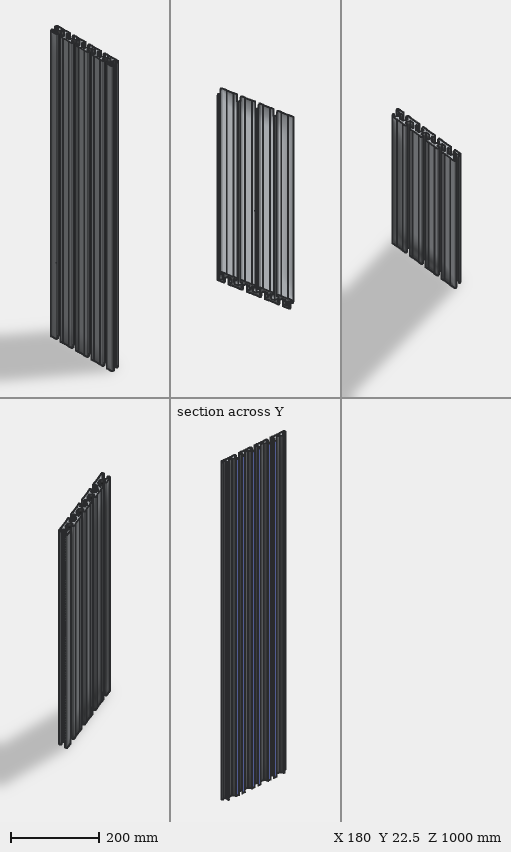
import cadquery as cq

LENGTH = 1000
WIDTH = 180
MODULE = WIDTH / 4
THICKNESS = MODULE / 2
CORNER_RADIUS = 2.0

MOUTH_WIDTH = 9.6
MOUTH_RADIUS = 1.4
LIP_THICKNESS = 5.5
CAVITY_WIDTH = 20.0
CAVITY_WALL_DEPTH = 9.5
TAPER_DEPTH = 15.0
FLOOR_WIDTH = 8.7
SLOT_DEPTH = 16.0

SIDE_MOUTH_RADIUS = 1.0
SIDE_LIP_THICKNESS = 2.5
SIDE_CAVITY_WIDTH = 16.0
SIDE_CAVITY_DEPTH = 4.5
SIDE_WAIST_WIDTH = 9.5
SIDE_WAIST_DEPTH = 9.5
SIDE_FLOOR_WIDTH = 4.0
SIDE_SLOT_DEPTH = 11.0

GROOVE_MOUTH_WIDTH = 18.0
GROOVE_FLOOR_WIDTH = 16.0
GROOVE_DEPTH = 0.5

BACK_SLOT_CENTRES = [step * MODULE for step in (-1, 0, 1)]
FRONT_SLOT_CENTRES = [step * MODULE for step in (-1.5, -0.5, 0.5, 1.5)]


def symmetric_cutter(half_outline):
    """Full-length prism, symmetric about X = 0, reaching down from its mouth at Y = 0."""
    mirrored_half = [(-x, y) for x, y in reversed(half_outline)]
    return cq.Workplane("XY").polyline(half_outline + mirrored_half).close().extrude(LENGTH)


def mouth_rounding(radius):
    """Cutter that rounds the two outer edges of a slot mouth."""
    half_mouth = MOUTH_WIDTH / 2
    half_flare = half_mouth + radius
    return (
        cq.Workplane("XY")
        .moveTo(-half_flare, 0)
        .radiusArc((-half_mouth, -radius), radius)
        .lineTo(half_mouth, -radius)
        .radiusArc((half_flare, 0), radius)
        .close()
        .extrude(LENGTH)
    )


def face_slot():
    half_outline = [
        (MOUTH_WIDTH / 2, 0),
        (MOUTH_WIDTH / 2, -LIP_THICKNESS),
        (CAVITY_WIDTH / 2, -LIP_THICKNESS),
        (CAVITY_WIDTH / 2, -CAVITY_WALL_DEPTH),
        (FLOOR_WIDTH / 2, -TAPER_DEPTH),
        (FLOOR_WIDTH / 2, -SLOT_DEPTH),
    ]
    return symmetric_cutter(half_outline).union(mouth_rounding(MOUTH_RADIUS))


def side_slot():
    half_outline = [
        (MOUTH_WIDTH / 2, 0),
        (MOUTH_WIDTH / 2, -SIDE_LIP_THICKNESS),
        (SIDE_CAVITY_WIDTH / 2, -SIDE_CAVITY_DEPTH),
        (SIDE_WAIST_WIDTH / 2, -SIDE_WAIST_DEPTH),
        (SIDE_FLOOR_WIDTH / 2, -SIDE_SLOT_DEPTH),
    ]
    return symmetric_cutter(half_outline).union(mouth_rounding(SIDE_MOUTH_RADIUS))


def relief_groove():
    half_outline = [
        (GROOVE_MOUTH_WIDTH / 2, 0),
        (GROOVE_FLOOR_WIDTH / 2, -GROOVE_DEPTH),
    ]
    return symmetric_cutter(half_outline)


def on_back(cutter, x):
    """Place a cutter in the +Y face."""
    return cutter.translate((x, THICKNESS / 2, 0))


def on_front(cutter, x):
    """Place a cutter in the -Y face."""
    return cutter.mirror("XZ").translate((x, -THICKNESS / 2, 0))


plate = cq.Workplane("XY").rect(WIDTH, THICKNESS).extrude(LENGTH)
plate = plate.edges("|Z").fillet(CORNER_RADIUS)

for x in BACK_SLOT_CENTRES:
    plate = plate.cut(on_back(face_slot(), x))
    plate = plate.cut(on_front(relief_groove(), x))

for x in FRONT_SLOT_CENTRES:
    plate = plate.cut(on_front(face_slot(), x))
    plate = plate.cut(on_back(relief_groove(), x))

right_slot = side_slot().rotate((0, 0, 0), (0, 0, 1), -90).translate((WIDTH / 2, 0, 0))
plate = plate.cut(right_slot)
plate = plate.cut(right_slot.mirror("YZ"))

result = plate.val()